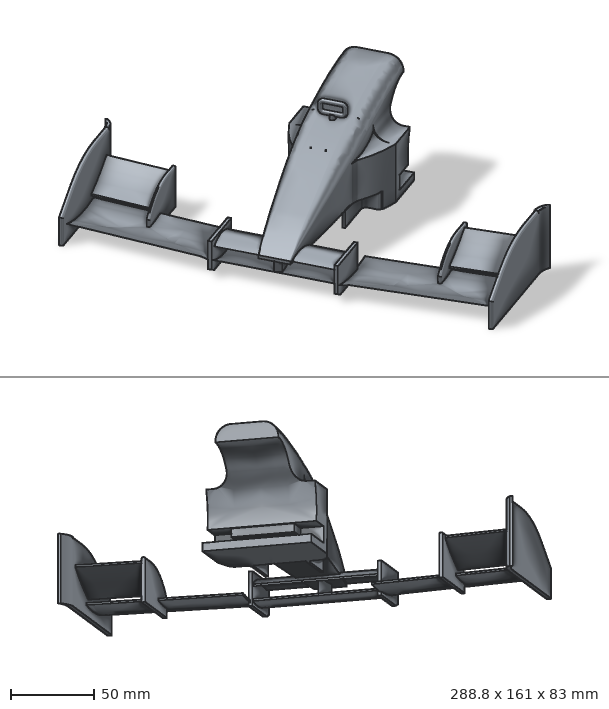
import cadquery as cq
import math


LENGTH = 161.0
HEIGHT = 82.97
HALF_WIDTH = 20.0
FLAT_HALF_WIDTH = 10.0
SEAM_Y = 101.0
TIP_Y = 2.0
BASE_Z = 10.4
TIP_BOTTOM_Z = 18.8
REAR_STATIONS = [
    (LENGTH, HALF_WIDTH, HEIGHT),
    (144.0, HALF_WIDTH, 81.5),
    (124.0, HALF_WIDTH, 77.5),
    (SEAM_Y, HALF_WIDTH, 70.9),
]
FRONT_STATIONS = [
    (SEAM_Y, HALF_WIDTH, 70.9),
    (79.0, 19.2, 62.4),
    (56.0, 17.2, 51.7),
    (31.5, 14.5, 39.2),
    (TIP_Y, 10.3, 21.1),
]

CHIN_Z = 72.3
REAR_WALL_BENDS = [(145.0, 65.8), (139.3, 59.0), (134.5, 49.0)]
WALL_BOTTOM_Y = 132.4
WALL_BOTTOM_Z = 26.0
CORE_REAR_Y = 130.6
CORE_BOTTOM_Z = 20.8
SLOT_FRONT_Y = 118.5
FLOOR_TOP_Z = 15.6
FLOOR_REAR_Y = 142.0
KEEL_Y = 70.6
KEEL_TOP_Z = 22.6
KEEL_HALF_WIDTH = 18.4
KEEL_WALL = 1.8

POD_HALF_WIDTH = 34.6
POD_BEND_Y = 112.0
POD_TOP_Z = 50.5
POD_MID = (-28.1, 96.0)
POD_NEAR_END = (-20.8, 84.6)
POD_END = (-19.0, 78.6)
SHOULDER_RADIUS = 10.0
SHOULDER_X = HALF_WIDTH + SHOULDER_RADIUS
SHOULDER_END = (-HALF_WIDTH, 89.5)
NOTCH_REAR_Y = 99.4
NOTCH_FILLET = 3.5
NOTCH_LIP_RADIUS = 1.7
NOTCH_LIP_X = 28.0
NOTCH_OUTER_Y = NOTCH_REAR_Y + NOTCH_LIP_RADIUS

PORT_X = 4.8
PORT_Y = 73.2
PORT_DIAMETER = 0.6
PORT_DEPTH = 3.0
PORT_SURFACE_Z = 59.8

HOOP_Y = 96.4
HOOP_TUBE_DIAMETER = 3.0
HOOP_HALF_WIDTH = 8.2
HOOP_TOP_Z = 79.8
HOOP_BOTTOM_Z = 72.2
HOOP_BEND_RADIUS = 2.4
PEG_DIAMETER = 4.1
PEG_LENGTH = 6.0

END_PLATE_INNER_X = 138.0
END_PLATE_THICKNESS = 3.0
END_PLATE_FRONT_Y = 3.8
END_PLATE_TOP_Z = 43.4
END_PLATE_ARC_START = (59.5, END_PLATE_TOP_Z)
END_PLATE_ARC_RADIUS = 66.0
END_PLATE_SLOPE = 34.5
END_PLATE_ROUND = 1.45
CURL_START_Y = 78.6
CURL_END_Y = 88.2
WING_HALF_SPAN = 288.84 / 2
CURL_TIP_THICKNESS = 1.8
CURL_ROUND = 0.5

FIN_X = 94.6
FIN_THICKNESS = 2.4
FIN_FRONT_Y = 33.2
FIN_FRONT_Z = 12.0
FIN_ARC_Y = 63.4
FIN_REAR_Y = 75.0
FIN_TOP_Z = 28.0
FIN_ROUND = 1.1

CENTRE_PLATE_X = 41.0
CENTRE_PLATE_THICKNESS = 2.4
CENTRE_PLATE_REAR_Y = 31.8
CENTRE_PLATE_TOP_Z = 25.3
CENTRE_PLATE_BOTTOM_Z = 3.7
CENTRE_PLATE_FRONT_Z = 5.8
CENTRE_PLATE_SLOPE_Y = 4.0

LEADING_Z = 12.2
INNER_LEADING_Z = 10.8
TRAILING_Z = 8.2
BELLY_Z = 5.85
BELLY_AT = 0.6
SKIN = 1.3
SIDE_WING_STATIONS = [
    (CENTRE_PLATE_X, CENTRE_PLATE_X, 2.0, 46.6, INNER_LEADING_Z),
    (48.0, 45.0, 2.4, 46.8, LEADING_Z),
    (136.6, 134.8, 9.8, 53.3, LEADING_Z),
    (END_PLATE_INNER_X + 1, END_PLATE_INNER_X + 1, 10.0, 53.5, LEADING_Z),
]

FLAP_INNER_Y = (46.4, 70.9)
FLAP_OUTER_Y = (50.0, 74.5)
FLAP_FRONT_Z = 12.4
FLAP_REAR_Z = 26.7
FLAP_SAG = 1.0

LOWER_PLANE_Y = (2.0, 31.0)
LOWER_PLANE_LEADING_Z = 11.6
UPPER_PLANE_Y = (4.0, 31.4)
UPPER_PLANE_LEADING_Z = 20.0
UPPER_PLANE_PEAK = (13.0, 23.3)
UPPER_PLANE_TRAILING_Z = 17.2

STRUT_FRONT_Y = 2.2
STRUT_WIDEST_Y = 8.0
STRUT_REAR_Y = 26.0
STRUT_HALF_WIDTH = 2.7


def both_sides(solid):
    """Return a left-hand feature together with its mirror image."""
    return solid.union(solid.mirror("YZ"))


def side_prism(outline, x_start, x_end):
    """Extrude a closed outline of the YZ plane from x_start to x_end."""
    return outline.extrude(x_end - x_start).translate((x_start, 0, 0))


def tangent_radius(run, rise):
    """Radius of an arc that leaves along the run and has risen by rise at its end."""
    return (run ** 2 + rise ** 2) / (2 * rise)


def nose_section(y, half_width, top_z):
    """Cross-section with a flat top and quarter-round shoulders."""
    radius = half_width - FLAT_HALF_WIDTH
    shoulder_z = top_z - radius
    bend = radius * 0.5 ** 0.5
    plane = cq.Plane(origin=(0, y, 0), xDir=(1, 0, 0), normal=(0, -1, 0))
    return (
        cq.Workplane(plane)
        .moveTo(-half_width, BASE_Z)
        .lineTo(-half_width, shoulder_z)
        .threePointArc((-FLAT_HALF_WIDTH - bend, shoulder_z + bend), (-FLAT_HALF_WIDTH, top_z))
        .lineTo(FLAT_HALF_WIDTH, top_z)
        .threePointArc((FLAT_HALF_WIDTH + bend, shoulder_z + bend), (half_width, shoulder_z))
        .lineTo(half_width, BASE_Z)
        .close()
        .val()
    )


def nose_shell(stations):
    sections = [nose_section(*station) for station in stations]
    return cq.Workplane(cq.Solid.makeLoft(sections))


def pod_block():
    """Left pod and its floor, from the centre plane outwards."""
    bend = (-POD_HALF_WIDTH, POD_BEND_Y)
    half = (
        cq.Workplane("XY", origin=(0, 0, BASE_Z))
        .moveTo(0, FLOOR_REAR_Y)
        .lineTo(-POD_HALF_WIDTH, FLOOR_REAR_Y)
        .lineTo(*bend)
        .threePointArc(POD_MID, POD_NEAR_END)
        .lineTo(*POD_END)
        .lineTo(0, POD_END[1])
        .close()
    )
    return half.extrude(POD_TOP_Z - BASE_Z)


def shoulder():
    """Concave blend from the top of the left pod up to the side of the nose."""
    edge_start = (-SHOULDER_X, FLOOR_REAR_Y)
    edge_bend = (-SHOULDER_X, POD_BEND_Y)
    block = (
        cq.Workplane("XY", origin=(0, 0, POD_TOP_Z))
        .polyline([(0, FLOOR_REAR_Y), edge_start, edge_bend, SHOULDER_END, (0, SHOULDER_END[1])])
        .close()
        .extrude(SHOULDER_RADIUS)
    )
    tube_z = POD_TOP_Z + SHOULDER_RADIUS
    run = cq.Vector(SHOULDER_END[0] - edge_bend[0], SHOULDER_END[1] - edge_bend[1], 0)
    bend = cq.Vector(*edge_bend, tube_z)
    straight = cq.Solid.makeCylinder(
        SHOULDER_RADIUS, FLOOR_REAR_Y - POD_BEND_Y, bend, cq.Vector(0, 1, 0))
    slanted = cq.Solid.makeCylinder(SHOULDER_RADIUS, 3 * run.Length, bend - run, run)
    ahead_of_bend = cq.Workplane("XY").box(
        3 * SHOULDER_X, POD_BEND_Y, HEIGHT, centered=(True, False, False))
    return block.cut(cq.Workplane(straight)).cut(ahead_of_bend.intersect(cq.Workplane(slanted)))


def rear_and_underside():
    """Side silhouette that trims the rear wall, the slot, the floor and the chin."""
    roof_z = HEIGHT + 1
    outline = (
        cq.Workplane("YZ")
        .moveTo(LENGTH, roof_z)
        .lineTo(LENGTH, CHIN_Z)
        .spline([*REAR_WALL_BENDS, (WALL_BOTTOM_Y, WALL_BOTTOM_Z)], includeCurrent=True)
        .lineTo(CORE_REAR_Y, WALL_BOTTOM_Z)
        .lineTo(CORE_REAR_Y, CORE_BOTTOM_Z)
        .lineTo(SLOT_FRONT_Y, CORE_BOTTOM_Z)
        .lineTo(SLOT_FRONT_Y, FLOOR_TOP_Z)
        .lineTo(FLOOR_REAR_Y, FLOOR_TOP_Z)
        .lineTo(FLOOR_REAR_Y, BASE_Z)
        .lineTo(KEEL_Y, BASE_Z)
        .lineTo(KEEL_Y, KEEL_TOP_Z)
        .lineTo(TIP_Y, TIP_BOTTOM_Z)
        .lineTo(TIP_Y, roof_z)
        .close()
    )
    return side_prism(outline, -POD_HALF_WIDTH, POD_HALF_WIDTH)


def pod_slot():
    """Slot in the outer wall of the left pod, ahead of the curved rear wall."""
    return cq.Workplane("XY").box(
        POD_HALF_WIDTH - HALF_WIDTH, WALL_BOTTOM_Y - SLOT_FRONT_Y, WALL_BOTTOM_Z - FLOOR_TOP_Z,
        centered=False,
    ).translate((-POD_HALF_WIDTH, SLOT_FRONT_Y, FLOOR_TOP_Z))


def pod_notch():
    """Recess under the curved side of the left pod, rounded where it meets the nose."""
    wall_x = -KEEL_HALF_WIDTH
    return (
        cq.Workplane("XY", origin=(0, 0, BASE_Z))
        .moveTo(-POD_HALF_WIDTH, NOTCH_OUTER_Y)
        .lineTo(-NOTCH_LIP_X - NOTCH_LIP_RADIUS, NOTCH_OUTER_Y)
        .radiusArc((-NOTCH_LIP_X, NOTCH_REAR_Y), -NOTCH_LIP_RADIUS)
        .lineTo(wall_x - NOTCH_FILLET, NOTCH_REAR_Y)
        .radiusArc((wall_x, NOTCH_REAR_Y - NOTCH_FILLET), NOTCH_FILLET)
        .lineTo(wall_x, KEEL_Y)
        .lineTo(-POD_HALF_WIDTH, KEEL_Y)
        .close()
        .extrude(KEEL_TOP_Z - BASE_Z)
    )


def keel_hollow():
    """Wedge between the two keel walls, sloping down to the floor."""
    half = KEEL_HALF_WIDTH - KEEL_WALL
    outline = (
        cq.Workplane("YZ")
        .polyline([(KEEL_Y, BASE_Z), (KEEL_Y, KEEL_TOP_Z), (NOTCH_REAR_Y, BASE_Z)])
        .close()
    )
    return side_prism(outline, -half, half)


def sensor_ports():
    """Two fine holes in the flat top of the nose."""
    ports = cq.Workplane("XY", origin=(0, 0, PORT_SURFACE_Z - PORT_DEPTH))
    ports = ports.pushPoints([(-PORT_X, PORT_Y), (PORT_X, PORT_Y)])
    return ports.circle(PORT_DIAMETER / 2).extrude(2 * PORT_DEPTH)


def make_nose():
    body = nose_shell(REAR_STATIONS).union(nose_shell(FRONT_STATIONS))
    pods = both_sides(pod_block().union(shoulder()))
    pods = pods.cut(both_sides(pod_slot()))
    body = body.union(pods).intersect(rear_and_underside())
    return body.cut(both_sides(pod_notch())).cut(keel_hollow()).cut(sensor_ports())


def make_hoop():
    """Round tube bent to a rounded rectangle, on a short peg."""
    half_bar = HOOP_HALF_WIDTH - HOOP_BEND_RADIUS
    low_z = HOOP_BOTTOM_Z + HOOP_BEND_RADIUS
    high_z = HOOP_TOP_Z - HOOP_BEND_RADIUS
    path = (
        cq.Workplane("XZ", origin=(0, HOOP_Y, 0))
        .moveTo(-half_bar, HOOP_TOP_Z)
        .lineTo(half_bar, HOOP_TOP_Z)
        .radiusArc((HOOP_HALF_WIDTH, high_z), HOOP_BEND_RADIUS)
        .lineTo(HOOP_HALF_WIDTH, low_z)
        .radiusArc((half_bar, HOOP_BOTTOM_Z), HOOP_BEND_RADIUS)
        .lineTo(-half_bar, HOOP_BOTTOM_Z)
        .radiusArc((-HOOP_HALF_WIDTH, low_z), HOOP_BEND_RADIUS)
        .lineTo(-HOOP_HALF_WIDTH, high_z)
        .radiusArc((-half_bar, HOOP_TOP_Z), HOOP_BEND_RADIUS)
    )
    ring = (
        cq.Workplane("YZ", origin=(-half_bar, HOOP_Y, HOOP_TOP_Z))
        .circle(HOOP_TUBE_DIAMETER / 2)
        .sweep(path)
    )
    peg = (
        cq.Workplane("XY", origin=(0, HOOP_Y, HOOP_BOTTOM_Z - PEG_LENGTH))
        .circle(PEG_DIAMETER / 2)
        .extrude(PEG_LENGTH)
    )
    return ring.union(peg)


def wing_section(x_lead, x_trail, y_lead, y_trail, z_lead):
    """Hollow-topped wing section; its left-hand plane may be skewed in plan."""
    def point(fraction, z):
        x = x_lead + fraction * (x_trail - x_lead)
        y = y_lead + fraction * (y_trail - y_lead)
        return cq.Vector(-x, y, z)

    lead = point(0, z_lead)
    trail_top = point(1, TRAILING_Z)
    trail_bottom = point(1, TRAILING_Z - SKIN)
    edges = [
        cq.Edge.makeSpline([lead, point(BELLY_AT, BELLY_Z + SKIN), trail_top]),
        cq.Edge.makeLine(trail_top, trail_bottom),
        cq.Edge.makeSpline([trail_bottom, point(BELLY_AT, BELLY_Z), lead]),
    ]
    return cq.Wire.assembleEdges(edges)


def side_wing():
    sections = [wing_section(*station) for station in SIDE_WING_STATIONS]
    return cq.Workplane(cq.Solid.makeLoft(sections, True))


def lower_plane():
    sections = [wing_section(x, x, *LOWER_PLANE_Y, LOWER_PLANE_LEADING_Z)
                for x in (-CENTRE_PLATE_X, CENTRE_PLATE_X)]
    return cq.Workplane(cq.Solid.makeLoft(sections, True))


def upper_plane():
    """Hump-backed plane between the two centre plates."""
    y_lead, y_trail = UPPER_PLANE_Y
    peak_y, peak_z = UPPER_PLANE_PEAK
    outline = (
        cq.Workplane("YZ")
        .moveTo(y_lead, UPPER_PLANE_LEADING_Z)
        .spline([(peak_y, peak_z), (y_trail, UPPER_PLANE_TRAILING_Z)], includeCurrent=True)
        .lineTo(y_trail, UPPER_PLANE_TRAILING_Z - SKIN)
        .spline([(peak_y, peak_z - 2 * SKIN), (y_lead, UPPER_PLANE_LEADING_Z)], includeCurrent=True)
        .close()
    )
    return side_prism(outline, -CENTRE_PLATE_X, CENTRE_PLATE_X)


def flap_section(x, y_front, y_rear):
    mid_y = (y_front + y_rear) / 2
    mid_z = (FLAP_FRONT_Z + FLAP_REAR_Z) / 2 - FLAP_SAG
    front_bottom = cq.Vector(-x, y_front, FLAP_FRONT_Z - SKIN)
    front_top = cq.Vector(-x, y_front, FLAP_FRONT_Z)
    rear_top = cq.Vector(-x, y_rear, FLAP_REAR_Z)
    rear_bottom = cq.Vector(-x, y_rear, FLAP_REAR_Z - SKIN)
    edges = [
        cq.Edge.makeLine(front_bottom, front_top),
        cq.Edge.makeThreePointArc(front_top, cq.Vector(-x, mid_y, mid_z), rear_top),
        cq.Edge.makeLine(rear_top, rear_bottom),
        cq.Edge.makeThreePointArc(rear_bottom, cq.Vector(-x, mid_y, mid_z - SKIN), front_bottom),
    ]
    return cq.Wire.assembleEdges(edges)


def flap():
    sections = [flap_section(FIN_X, *FLAP_INNER_Y), flap_section(END_PLATE_INNER_X + 1, *FLAP_OUTER_Y)]
    return cq.Workplane(cq.Solid.makeLoft(sections, True))


def end_plate():
    """Left outer plate with a rounded top and front edge; its rear curls outwards."""
    inner = -END_PLATE_INNER_X
    outer = inner - END_PLATE_THICKNESS
    slope = math.radians(END_PLATE_SLOPE)
    arc_y, arc_z = END_PLATE_ARC_START
    arc_end = (arc_y - END_PLATE_ARC_RADIUS * math.sin(slope),
               arc_z - END_PLATE_ARC_RADIUS * (1 - math.cos(slope)))
    front_z = arc_end[1] - (arc_end[0] - END_PLATE_FRONT_Y) * math.tan(slope)
    tip_outer = (-WING_HALF_SPAN, CURL_END_Y)
    tip_inner = (-WING_HALF_SPAN + CURL_TIP_THICKNESS, CURL_END_Y)
    plate = side_prism(
        cq.Workplane("YZ")
        .moveTo(CURL_START_Y, 0)
        .lineTo(CURL_START_Y, END_PLATE_TOP_Z)
        .lineTo(*END_PLATE_ARC_START)
        .radiusArc(arc_end, -END_PLATE_ARC_RADIUS)
        .lineTo(END_PLATE_FRONT_Y, front_z)
        .lineTo(END_PLATE_FRONT_Y, 0)
        .close(),
        outer, inner,
    )
    curl = (
        cq.Workplane("XY")
        .moveTo(outer, CURL_START_Y)
        .radiusArc(tip_outer, -tangent_radius(CURL_END_Y - CURL_START_Y, outer - tip_outer[0]))
        .lineTo(*tip_inner)
        .radiusArc((inner, CURL_START_Y), tangent_radius(CURL_END_Y - CURL_START_Y, inner - tip_inner[0]))
        .close()
        .extrude(END_PLATE_TOP_Z)
    )
    exposed = cq.selectors.BoxSelector(
        (-WING_HALF_SPAN, END_PLATE_FRONT_Y - 1, 1),
        (0, CURL_START_Y - 1, END_PLATE_TOP_Z + 1))
    plate = plate.edges(exposed).edges("not |X").fillet(END_PLATE_ROUND)
    curl = curl.faces(">Z").edges("%CIRCLE").fillet(CURL_ROUND)
    return plate.union(curl)


def fin():
    """Inner fin that carries the flap and stands through the side wing."""
    radius = tangent_radius(FIN_ARC_Y - FIN_FRONT_Y, FIN_TOP_Z - FIN_FRONT_Z)
    outline = (
        cq.Workplane("YZ")
        .moveTo(FIN_FRONT_Y, 0)
        .lineTo(FIN_FRONT_Y, FIN_FRONT_Z)
        .radiusArc((FIN_ARC_Y, FIN_TOP_Z), radius)
        .lineTo(FIN_REAR_Y, FIN_TOP_Z)
        .lineTo(FIN_REAR_Y, 0)
        .close()
    )
    plate = side_prism(outline, -FIN_X - FIN_THICKNESS / 2, -FIN_X + FIN_THICKNESS / 2)
    exposed = cq.selectors.BoxSelector(
        (-WING_HALF_SPAN, FIN_FRONT_Y - 1, 1), (0, FIN_REAR_Y - 1, FIN_TOP_Z + 1))
    return plate.edges(exposed).edges("not |X").fillet(FIN_ROUND)


def centre_plate():
    outline = cq.Workplane("YZ").polyline([
        (0, CENTRE_PLATE_TOP_Z),
        (0, CENTRE_PLATE_FRONT_Z),
        (CENTRE_PLATE_SLOPE_Y, CENTRE_PLATE_BOTTOM_Z),
        (CENTRE_PLATE_REAR_Y, CENTRE_PLATE_BOTTOM_Z),
        (CENTRE_PLATE_REAR_Y, CENTRE_PLATE_TOP_Z),
    ]).close()
    half = CENTRE_PLATE_THICKNESS / 2
    return side_prism(outline, -CENTRE_PLATE_X - half, -CENTRE_PLATE_X + half)


def strut():
    """Lozenge-shaped strut from the lower plane up to the underside of the nose."""
    y_lead, y_trail = LOWER_PLANE_Y
    top_z = TIP_BOTTOM_Z + 1
    lozenge = (
        cq.Workplane("XY")
        .polyline([(0, STRUT_FRONT_Y), (STRUT_HALF_WIDTH, STRUT_WIDEST_Y),
                   (0, STRUT_REAR_Y), (-STRUT_HALF_WIDTH, STRUT_WIDEST_Y)])
        .close()
        .extrude(top_z)
    )
    belly_y = y_lead + BELLY_AT * (y_trail - y_lead)
    above_lower_plane = (
        cq.Workplane("YZ")
        .moveTo(y_lead, LOWER_PLANE_LEADING_Z)
        .spline([(belly_y, BELLY_Z + SKIN / 2), (y_trail, TRAILING_Z - SKIN / 2)], includeCurrent=True)
        .lineTo(y_trail, top_z)
        .lineTo(y_lead, top_z)
        .close()
    )
    return lozenge.intersect(side_prism(above_lower_plane, -STRUT_HALF_WIDTH, STRUT_HALF_WIDTH))


def make_wing():
    wing = lower_plane().union(upper_plane()).union(strut())
    for part in (side_wing(), flap(), end_plate(), fin(), centre_plate()):
        wing = wing.union(both_sides(part))
    return wing


nose = make_nose()
wing = make_wing().cut(nose)
hoop = make_hoop().cut(nose)
result = cq.Compound.makeCompound([*nose.solids().vals(), *wing.solids().vals(), *hoop.solids().vals()])